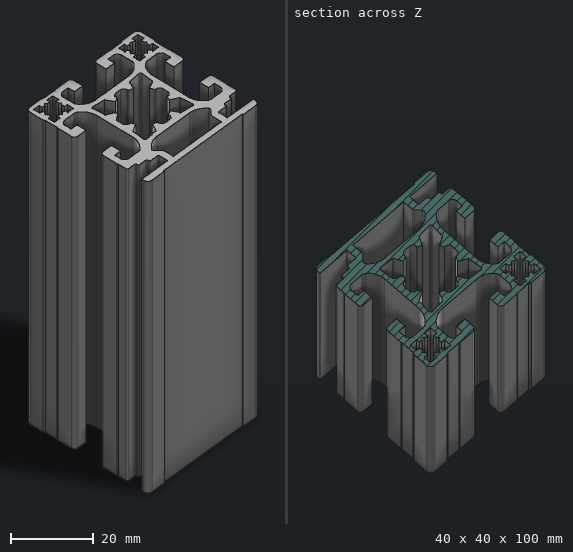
import cadquery as cq
import math

size = 40.0
length = 100.0
half = size / 2
corner_radius = 1.5

slot_angles = (90, 180, 270)
opening_half_width = 4.15
lip_half_span = 7.15
lip_underside = 15.75
slot_roof = 17.85
slot_half_width = 10.45
slot_roof_radius = 1.4
lip_edge_radius = 1.1
slot_floor = 10.0
floor_half_width = 5.8
shoulder_height = 12.65
shoulder_radius = 1.5

relief_depth = 0.3
lip_setback = 0.2
relief_outer_top = 14.4
relief_outer_bottom = 13.75
relief_inner_bottom = 10.0
relief_inner_top = 9.7

side_angles = (0, 90, 180, 270)
bore_radius = 6.8
cavity_corner = 8.85
cavity_corner_radius = 0.5
tooth_root = (8.4, 4.45)
tooth_tip = (6.0, 3.2)
key_half_width = 1.9
key_depth = 8.05
key_radius = 1.1

corner_center = 15.25
corner_half_width = 3.4
bump_half_width = 1.4
bump_tip = 2.4
bump_groove_half_width = 0.5
bump_groove_depth = 0.5

plate_inside = 17.9
plate_recess_end = 14.1
plate_recess_depth = 0.3
web_outside = 10.7
web_inside = 8.6
ramp_end = 14.6
ramp_top_radius = 0.6
ramp_foot_radius = 0.7
flange_end = 12.97
step_width = 0.97
first_step_height = 16.7
second_step_height = 13.8
channel_radius = 0.3
flange_edge_radius = 0.6


def prism(points):
    return cq.Workplane("XY").polyline(points).close().extrude(length)


def box(x_min, x_max, y_min, y_max):
    return prism([(x_min, y_min), (x_max, y_min), (x_max, y_max), (x_min, y_max)])


def turned(solid, angle):
    return solid.rotate((0, 0, 0), (0, 0, 1), angle)


def with_mirror(solid):
    """The solid together with its mirror image across the XZ plane."""
    return solid.union(solid.mirror("XZ"))


def edge_at(x, y):
    """Selector for the long edge that passes through (x, y)."""
    reach = 0.05
    return cq.selectors.BoxSelector((x - reach, y - reach, 0), (x + reach, y + reach, length))


def shoulder_arc_middle():
    """Middle of the arc that leaves the slot floor tangentially and ends at the slot wall."""
    run = slot_half_width - floor_half_width
    rise = shoulder_height - slot_floor
    radius = (run**2 + rise**2) / (2 * rise)
    half_angle = math.asin(run / radius) / 2
    return (
        slot_floor + radius * (1 - math.cos(half_angle)),
        floor_half_width + radius * math.sin(half_angle),
    )


def slot_bottom():
    """Outline from the upper slot wall along the slot floor to the lower slot wall, for a slot facing +X."""
    x_middle, y_middle = shoulder_arc_middle()
    return (
        cq.Workplane("XY")
        .moveTo(shoulder_height, slot_half_width)
        .threePointArc((x_middle, y_middle), (slot_floor, floor_half_width))
        .lineTo(slot_floor, -floor_half_width)
        .threePointArc((x_middle, -y_middle), (shoulder_height, -slot_half_width))
    )


def t_slot():
    """Cutter for a T-slot facing +X."""
    chamber = (
        slot_bottom()
        .lineTo(slot_roof, -slot_half_width)
        .lineTo(slot_roof, -lip_half_span)
        .lineTo(lip_underside, -lip_half_span)
        .lineTo(lip_underside, lip_half_span)
        .lineTo(slot_roof, lip_half_span)
        .lineTo(slot_roof, slot_half_width)
        .close()
        .extrude(length)
    )
    for wall in (-slot_half_width, slot_half_width):
        chamber = chamber.edges(edge_at(slot_roof, wall)).fillet(slot_roof_radius)
        chamber = chamber.edges(edge_at(shoulder_height, wall)).fillet(shoulder_radius)
    opening = box(slot_floor, half, -opening_half_width, opening_half_width)
    return chamber.union(opening)


def face_relief():
    """Cutter for the outer face next to a slot facing +X: a sloped groove and the set-back lips."""
    relief = prism(
        [
            (half, relief_outer_top),
            (half - relief_depth, relief_outer_bottom),
            (half - relief_depth, relief_inner_bottom),
            (half - lip_setback, relief_inner_top),
            (half - lip_setback, 0),
            (half, 0),
        ]
    )
    return with_mirror(relief)


def core_cavity():
    """Round bore with a pocket in each corner and a key recess on each side, leaving paired teeth."""
    cavity = cq.Workplane("XY").circle(bore_radius).extrude(length)
    corner_pocket = prism(
        [
            (0, 0),
            tooth_tip,
            tooth_root,
            (cavity_corner, cavity_corner),
            tooth_root[::-1],
            tooth_tip[::-1],
        ]
    )
    corner_pocket = corner_pocket.edges(edge_at(cavity_corner, cavity_corner)).fillet(cavity_corner_radius)
    key = box(0, key_depth, -key_half_width, key_half_width).edges("|Z and >X").fillet(key_radius)
    for angle in side_angles:
        cavity = cavity.union(turned(corner_pocket, angle)).union(turned(key, angle))
    return cavity


def corner_cavity():
    """Square cavity with a V-grooved bump in the middle of each side."""
    inner = bump_half_width
    outer = corner_half_width
    cavity = box(-bump_tip, bump_tip, -bump_tip, bump_tip)
    groove = prism(
        [
            (0, 0),
            (bump_tip, -bump_groove_half_width),
            (bump_tip + bump_groove_depth, 0),
            (bump_tip, bump_groove_half_width),
        ]
    )
    for angle in side_angles:
        cavity = cavity.union(turned(box(inner, outer, inner, outer), angle)).union(turned(groove, angle))
    return cavity.translate((-corner_center, corner_center, 0))


def plate_chamber():
    """Closed chamber between the core and the cover plate."""
    chamber = (
        slot_bottom()
        .lineTo(ramp_end, -web_inside)
        .lineTo(plate_inside, -web_inside)
        .lineTo(plate_inside, web_inside)
        .lineTo(ramp_end, web_inside)
        .close()
        .extrude(length)
    )
    for side in (-1, 1):
        chamber = chamber.edges(edge_at(shoulder_height, side * slot_half_width)).fillet(ramp_top_radius)
        chamber = chamber.edges(edge_at(ramp_end, side * web_inside)).fillet(ramp_foot_radius)
    return chamber


def end_channel():
    """Stepped channel between the +Y flange and the cover plate."""
    second_step = flange_end + step_width
    third_step = second_step + step_width
    stair_corners = [
        (flange_end, first_step_height),
        (second_step, first_step_height),
        (second_step, second_step_height),
        (third_step, second_step_height),
        (third_step, web_outside),
    ]
    channel = prism([(flange_end, half), *stair_corners, (plate_inside, web_outside), (plate_inside, half)])
    for x, y in stair_corners:
        channel = channel.edges(edge_at(x, y)).fillet(channel_radius)
    return channel


def flange_relief():
    """Flat set-back of the +Y flange beyond the groove."""
    return box(relief_inner_bottom, flange_end, half - relief_depth, half)


def plate_recess():
    """Shallow recess along the middle of the cover plate's outer face."""
    return box(half - plate_recess_depth, half, -plate_recess_end, plate_recess_end)


def round_slot_lips(profile):
    """Round the outer edge of both lips of every T-slot."""
    lip_face = half - lip_setback
    for side in (-1, 1):
        profile = profile.edges(edge_at(-lip_face, side * opening_half_width)).fillet(lip_edge_radius)
        for end in (-1, 1):
            lip_edge = edge_at(end * opening_half_width, side * lip_face)
            profile = profile.edges(lip_edge).fillet(lip_edge_radius)
    return profile


def round_flange_edges(profile):
    """Round the outer edge of each flange that faces the cover plate."""
    for side in (-1, 1):
        flange_edge = edge_at(flange_end, side * (half - relief_depth))
        profile = profile.edges(flange_edge).fillet(flange_edge_radius)
    return profile


result = box(-half, half, -half, half).edges("|Z").fillet(corner_radius)
for slot_angle in slot_angles:
    result = result.cut(turned(t_slot(), slot_angle))
    result = result.cut(turned(face_relief(), slot_angle))
result = round_slot_lips(result)
for cutter in (core_cavity(), plate_chamber(), plate_recess()):
    result = result.cut(cutter)
for cutter in (corner_cavity(), end_channel(), flange_relief()):
    result = result.cut(with_mirror(cutter))
result = round_flange_edges(result)